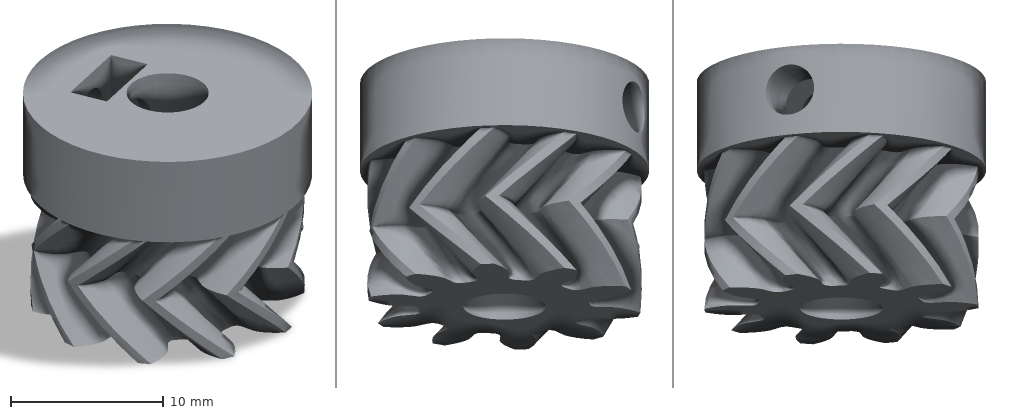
import cadquery as cq
import math

HUB_DIAMETER = 18.99
HUB_HEIGHT = 6.0
BORE_DIAMETER = 5.4

TOOTH_COUNT = 10
MODULE = 1.5
ADDENDUM = MODULE
DEDENDUM = 1.25 * MODULE
ROOT_FILLET = 0.38 * MODULE
PRESSURE_ANGLE = 20
GEAR_HEIGHT = 9.4
HALF_TWIST = 34
MIDDLE_TOOTH_ANGLE = 19.9
INVOLUTE_STEPS = 6

SCREW_ANGLE = 198
SCREW_DIAMETER = 3.4
SCREW_DEPTH = 2.95
NUT_WIDTH = 5.8
NUT_FLOOR_SLOPE = 30
NUT_SLOT_THICKNESS = 2.72
NUT_SLOT_INNER_RADIUS = 2.98

half_gear_height = GEAR_HEIGHT / 2
total_height = GEAR_HEIGHT + HUB_HEIGHT
screw_height = total_height - SCREW_DEPTH

tooth_pitch = 360 / TOOTH_COUNT
pitch_radius = MODULE * TOOTH_COUNT / 2
tip_radius = pitch_radius + ADDENDUM
root_radius = pitch_radius - DEDENDUM
base_radius = pitch_radius * math.cos(math.radians(PRESSURE_ANGLE))

fillet_center_radius = root_radius + ROOT_FILLET
fillet_radius_on_flank = math.sqrt(fillet_center_radius**2 - ROOT_FILLET**2)
fillet_angle = math.degrees(math.asin(ROOT_FILLET / fillet_center_radius))


def polar(radius, degrees):
    angle = math.radians(degrees)
    return (radius * math.cos(angle), radius * math.sin(angle))


def involute_angle(roll):
    """Degrees that an involute has turned from its start, for a roll in radians."""
    return math.degrees(roll - math.atan(roll))


base_half_angle = tooth_pitch / 4 + involute_angle(math.tan(math.radians(PRESSURE_ANGLE)))


def involute_flank():
    """(radius, half the tooth's angle) of points along the flank, from base circle to tip."""
    tip_roll = math.sqrt((tip_radius / base_radius) ** 2 - 1)
    rolls = [tip_roll * step / INVOLUTE_STEPS for step in range(INVOLUTE_STEPS + 1)]
    return [(base_radius * math.hypot(1, roll), base_half_angle - involute_angle(roll)) for roll in rolls]


def add_tooth(outline, center):
    """Continue the outline counterclockwise over one tooth and along the root to the next."""
    flank = involute_flank()
    tip_half_angle = flank[-1][1]
    root_half_angle = base_half_angle + fillet_angle
    rising = [polar(radius, center - half) for radius, half in flank]
    falling = [polar(radius, center + half) for radius, half in reversed(flank)]
    return (
        outline.radiusArc(polar(fillet_radius_on_flank, center - base_half_angle), ROOT_FILLET)
        .lineTo(*rising[0])
        .spline(rising[1:], includeCurrent=True)
        .threePointArc(polar(tip_radius, center), polar(tip_radius, center + tip_half_angle))
        .spline(falling[1:], includeCurrent=True)
        .lineTo(*polar(fillet_radius_on_flank, center + base_half_angle))
        .radiusArc(polar(root_radius, center + root_half_angle), ROOT_FILLET)
        .threePointArc(
            polar(root_radius, center + tooth_pitch / 2),
            polar(root_radius, center + tooth_pitch - root_half_angle),
        )
    )


def helical_gear(bottom, first_tooth_angle, twist):
    start_angle = first_tooth_angle - base_half_angle - fillet_angle
    outline = cq.Workplane("XY", origin=(0, 0, bottom)).moveTo(*polar(root_radius, start_angle))
    for tooth in range(TOOTH_COUNT):
        outline = add_tooth(outline, first_tooth_angle + tooth * tooth_pitch)
    return outline.close().twistExtrude(half_gear_height, twist)


def bore():
    return cq.Workplane("XY").circle(BORE_DIAMETER / 2).extrude(total_height)


def screw_hole():
    """Radial hole from the bore out through the side of the hub."""
    return (
        cq.Workplane("YZ", origin=(0, 0, screw_height))
        .circle(SCREW_DIAMETER / 2)
        .extrude(HUB_DIAMETER)
        .rotate((0, 0, 0), (0, 0, 1), SCREW_ANGLE)
    )


def nut_slot():
    """Slot open at the top, with a V floor that fits the lower corner of the nut."""
    half_width = NUT_WIDTH / 2
    side_corner_drop = half_width * math.tan(math.radians(NUT_FLOOR_SLOPE))
    lower_corner_drop = half_width / math.cos(math.radians(NUT_FLOOR_SLOPE))
    return (
        cq.Workplane("YZ", origin=(NUT_SLOT_INNER_RADIUS, 0, screw_height))
        .moveTo(-half_width, SCREW_DEPTH)
        .lineTo(-half_width, -side_corner_drop)
        .lineTo(0, -lower_corner_drop)
        .lineTo(half_width, -side_corner_drop)
        .lineTo(half_width, SCREW_DEPTH)
        .close()
        .extrude(NUT_SLOT_THICKNESS)
        .rotate((0, 0, 0), (0, 0, 1), SCREW_ANGLE)
    )


def make_hub_gear():
    """Hub with the upper half of the teeth below it."""
    teeth = helical_gear(half_gear_height, MIDDLE_TOOTH_ANGLE, HALF_TWIST)
    disc = cq.Workplane("XY", origin=(0, 0, GEAR_HEIGHT)).circle(HUB_DIAMETER / 2).extrude(HUB_HEIGHT)
    return disc.union(teeth).cut(bore()).cut(screw_hole()).cut(nut_slot())


def make_lower_gear():
    """Lower half of the teeth, which twists the other way."""
    return helical_gear(0, MIDDLE_TOOTH_ANGLE + HALF_TWIST, -HALF_TWIST).cut(bore())


hub_gear = make_hub_gear()
lower_gear = make_lower_gear()
result = cq.Compound.makeCompound([hub_gear.val(), lower_gear.val()])